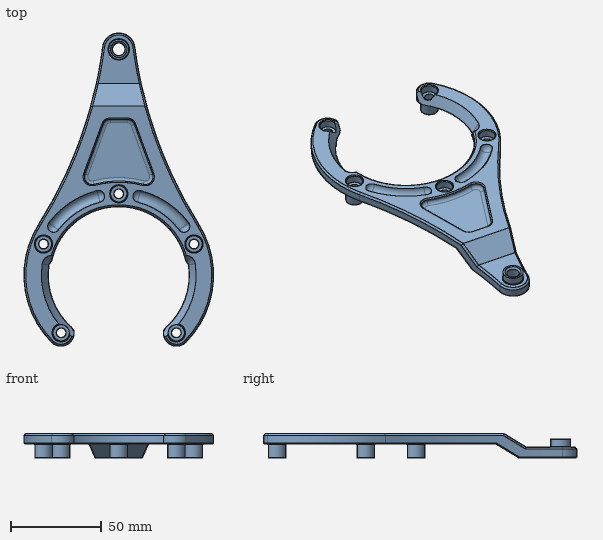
import cadquery as cq
import math

total_length = 173.2

plate_thickness = 5.9
total_height = 13.5
step_drop = total_height - plate_thickness
tip_boss_top = 10.4

bolt_circle_radius = 45.0
ring_outer_radius = 52.5
ring_inner_radius = 38.0
ring_middle_radius = (ring_outer_radius + ring_inner_radius) / 2
ring_half_width = (ring_outer_radius - ring_inner_radius) / 2
fork_end_angle = -45.0
top_bolt_angle = 90.0
side_bolt_angle = 22.5
right_bolt_angles = (side_bolt_angle, fork_end_angle)

spigot_radius = 4.8
foot_flare = 0.3
screw_hole_radius = 2.6
counterbore_radius = 4.5
counterbore_chamfer = 0.5
counterbore_depth = 4.8

tip_radius = 9.0
fork_end_y = ring_middle_radius * math.sin(math.radians(fork_end_angle)) - ring_half_width
tip_y = fork_end_y + total_length - tip_radius
tip_boss_radius = 5.5
tip_hole_radius = 3.5
tip_hole_chamfer = 1.0
flank_radius = 242.5
step_start_y = 93.5
step_end_y = 106.0
underside_shift = 4.2
upper_edge_chamfer = 1.0
lower_edge_chamfer = 0.5

pocket_top_y = 86.3
pocket_top_half_width = 7.6
pocket_bottom_half_width = 22.0
pocket_bottom_radius = 52.1
pocket_corner_radius = 4.3
pocket_depth = 3.3
pocket_floor_fillet = 1.9
pocket_rim_chamfer = 0.7

groove_radius = 3.3
groove_middle_angle = (top_bolt_angle + side_bolt_angle) / 2
groove_half_span = 19.4

relief_outer_radius = 42.8
relief_clear_radius = 20.8
relief_taper = 33.0
relief_start_angle = 17.0
relief_end_angle = -75.0
relief_corner_radius = 5.5


def polar(radius, degrees):
    angle = math.radians(degrees)
    return (radius * math.cos(angle), radius * math.sin(angle))


def mirrored(point):
    return (-point[0], point[1])


def cone_frustum(radius_below, radius_above, z_below, height):
    """Upright frustum on the Z axis."""
    base = cq.Vector(0, 0, z_below)
    return cq.Workplane(cq.Solid.makeCone(radius_below, radius_above, height, pnt=base))


def outline():
    """Plan outline: open ring with rounded ends, blended into a rounded tip."""
    to_ring = flank_radius + ring_outer_radius
    to_tip = flank_radius + tip_radius
    centre_y = (to_ring**2 - to_tip**2 + tip_y**2) / (2 * tip_y)
    centre_x = math.sqrt(to_ring**2 - centre_y**2)
    flank_angle = math.degrees(math.atan2(centre_y, centre_x))
    tip_angle = math.degrees(math.atan2(centre_y - tip_y, centre_x))

    ring_tangent = polar(ring_outer_radius, flank_angle)
    tip_offset = polar(tip_radius, tip_angle)
    tip_tangent = (tip_offset[0], tip_y + tip_offset[1])
    middle_angle = 180 + (flank_angle + tip_angle) / 2
    middle_offset = polar(flank_radius, middle_angle)
    flank_middle = (centre_x + middle_offset[0], centre_y + middle_offset[1])

    outer_end = polar(ring_outer_radius, fork_end_angle)
    inner_end = polar(ring_inner_radius, fork_end_angle)
    end_centre = polar(ring_middle_radius, fork_end_angle)
    end_offset = polar(ring_half_width, fork_end_angle - 90)
    end_middle = (end_centre[0] + end_offset[0], end_centre[1] + end_offset[1])

    return (
        cq.Workplane("XY")
        .moveTo(*inner_end)
        .threePointArc(end_middle, outer_end)
        .threePointArc((ring_outer_radius, 0), ring_tangent)
        .threePointArc(flank_middle, tip_tangent)
        .threePointArc((0, tip_y + tip_radius), mirrored(tip_tangent))
        .threePointArc(mirrored(flank_middle), mirrored(ring_tangent))
        .threePointArc((-ring_outer_radius, 0), mirrored(outer_end))
        .threePointArc(mirrored(end_middle), mirrored(inner_end))
        .threePointArc((0, ring_inner_radius), inner_end)
        .close()
    )


def stepped_plate():
    """Plate stepped down towards the tip, with chamfered edges."""
    near_y = -ring_outer_radius
    far_y = tip_y + 2 * tip_radius
    profile = (
        cq.Workplane("YZ")
        .moveTo(near_y, step_drop)
        .lineTo(step_start_y - underside_shift, step_drop)
        .lineTo(step_end_y - underside_shift, 0)
        .lineTo(far_y, 0)
        .lineTo(far_y, plate_thickness)
        .lineTo(step_end_y, plate_thickness)
        .lineTo(step_start_y, total_height)
        .lineTo(near_y, total_height)
        .close()
        .extrude(ring_outer_radius, both=True)
    )
    plate = outline().extrude(total_height).intersect(profile)
    least_lean = 0.1
    for facing, size in ((1, upper_edge_chamfer), (-1, lower_edge_chamfer)):
        faces = [face for face in plate.faces().vals() if facing * face.normalAt().z > least_lean]
        plate = plate.newObject(faces).edges("not(|X)").chamfer(size)
    return plate


def pocket():
    """Pocket between the flanks, with rounded corners and a filleted floor."""
    bottom_y = math.sqrt(pocket_bottom_radius**2 - pocket_bottom_half_width**2)
    bottom_corner = (pocket_bottom_half_width, bottom_y)
    top_corner = (pocket_top_half_width, pocket_top_y)
    walls = (
        cq.Workplane("XY", origin=(0, 0, total_height - pocket_depth))
        .moveTo(*bottom_corner)
        .lineTo(*top_corner)
        .lineTo(*mirrored(top_corner))
        .lineTo(*mirrored(bottom_corner))
        .threePointArc((0, pocket_bottom_radius), bottom_corner)
        .close()
        .extrude(pocket_depth)
        .edges("|Z")
        .fillet(pocket_corner_radius)
    )
    return walls.faces("<Z").edges().fillet(pocket_floor_fillet)


def chamfer_pocket_rim(plate):
    """Chamfer the edges of the upper face that lie between the step and the ring bore."""
    margin = 0.2
    reach = 2 * pocket_bottom_half_width
    bore_rim_y = ring_inner_radius + upper_edge_chamfer
    rim_zone = cq.selectors.BoxSelector(
        (-reach, bore_rim_y + margin, total_height - margin),
        (reach, step_start_y - margin, total_height + margin),
        boundingbox=True,
    )
    return plate.edges(rim_zone).chamfer(pocket_rim_chamfer)


def groove():
    """Round-bottomed arc groove with ball ends, to the right of the top bolt."""
    start_angle = groove_middle_angle - groove_half_span
    ball = cq.Workplane("XY").sphere(groove_radius)
    channel = (
        cq.Workplane("XZ")
        .center(bolt_circle_radius, 0)
        .circle(groove_radius)
        .revolve(2 * groove_half_span, (-bolt_circle_radius, 0), (-bolt_circle_radius, 1))
        .rotate((0, 0, 0), (0, 0, 1), start_angle)
    )
    for angle in (start_angle, start_angle + 2 * groove_half_span):
        channel = channel.union(ball.translate((*polar(bolt_circle_radius, angle), 0)))
    return channel.translate((0, 0, total_height))


def relief():
    """Sloped cut along the inside of the right prong, narrowing downwards."""
    middle_angle = (relief_start_angle + relief_end_angle) / 2
    start_corner = polar(relief_outer_radius, relief_start_angle)
    plan = (
        cq.Sketch()
        .segment(polar(relief_clear_radius, relief_start_angle), start_corner)
        .arc(
            start_corner,
            polar(relief_outer_radius, middle_angle),
            polar(relief_outer_radius, relief_end_angle),
        )
        .segment(polar(relief_clear_radius, relief_end_angle))
        .close()
        .assemble()
        .vertices(">Y")
        .fillet(relief_corner_radius)
    )
    return (
        cq.Workplane("XY", origin=(0, 0, total_height))
        .placeSketch(plan)
        .extrude(-plate_thickness, taper=relief_taper)
    )


def spigot():
    """Spigot below the plate, on the Z axis."""
    post = cq.Workplane("XY").circle(spigot_radius).extrude(step_drop)
    flare = cone_frustum(spigot_radius, spigot_radius + foot_flare, step_drop - foot_flare, foot_flare)
    return post.union(flare)


def screw_hole():
    """Through hole with a chamfered counterbore from above, on the Z axis."""
    rim_radius = counterbore_radius + counterbore_chamfer
    rim_bottom = total_height - counterbore_chamfer
    bore = cq.Workplane("XY").circle(screw_hole_radius).extrude(total_height)
    head = (
        cq.Workplane("XY", origin=(0, 0, total_height - counterbore_depth))
        .circle(counterbore_radius)
        .extrude(counterbore_depth)
    )
    rim = cone_frustum(counterbore_radius, rim_radius, rim_bottom, counterbore_chamfer)
    return bore.union(head).union(rim)


def tip_boss():
    """Collar standing on the lowered tip."""
    collar = cq.Workplane("XY").circle(tip_boss_radius).extrude(tip_boss_top)
    flare = cone_frustum(tip_boss_radius + foot_flare, tip_boss_radius, plate_thickness, foot_flare)
    return collar.union(flare).translate((0, tip_y, 0))


def tip_hole():
    """Through hole in the tip, chamfered at the top of the collar."""
    rim = cone_frustum(
        tip_hole_radius, tip_hole_radius + tip_hole_chamfer, tip_boss_top - tip_hole_chamfer, tip_hole_chamfer
    )
    bore = cq.Workplane("XY").circle(tip_hole_radius).extrude(tip_boss_top)
    return bore.union(rim).translate((0, tip_y, 0))


result = chamfer_pocket_rim(stepped_plate().cut(pocket()))

for cutter in (groove(), relief()):
    result = result.cut(cutter).cut(cutter.mirror("YZ"))

result = result.union(tip_boss()).cut(tip_hole())

left_bolt_angles = [180 - angle for angle in right_bolt_angles]
for bolt_angle in (top_bolt_angle, *right_bolt_angles, *left_bolt_angles):
    bolt_place = (*polar(bolt_circle_radius, bolt_angle), 0)
    result = result.union(spigot().translate(bolt_place))
    result = result.cut(screw_hole().translate(bolt_place))